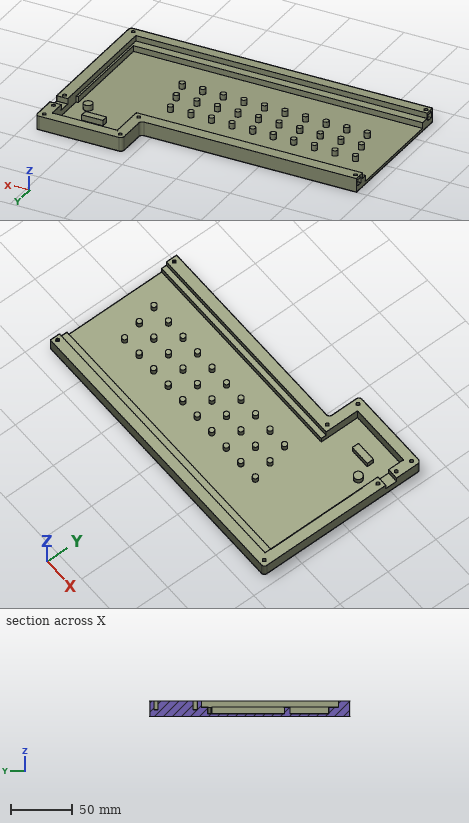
import cadquery as cq

LENGTH = 280.0
WIDTH = 163.5
HEIGHT = 13.0
FLOOR = 2.5
LEDGE_HEIGHT = 7.8
CORNER_RADIUS = 3.0

BODY_WIDTH = 131.6
BAY_LEFT = 199.7

FRONT_WALL = 9.5
RIGHT_WALL = 10.5
BODY_BACK_WALL = 10.6
BAY_WALL = 9.8

FRONT_LEDGE = 7.8
BACK_LEDGE = 5.0
RIGHT_LEDGE = 2.0
RIGHT_LEDGE_END = 112.5

NOTCH_FRONT = 127.2
NOTCH_WIDTH = 11.2
NOTCH_FLOOR = 7.8

SCREW_DIAMETER = 3.0
SCREW_DEPTH = 7.0
SCREW_INSET = 5.3
LEFT_SCREW_INSET = 3.6
FRONT_SCREW_INSET = 4.8
BAY_SCREW_INSET = 4.8
NOTCH_SCREW_GAP = 4.0

SOCKET_SIZE = 5.3
SOCKET_DEPTH = 5.5
SOCKET_CENTER_HEIGHT = 7.8
SOCKET_INSET = 5.0

PIN_DIAMETER = 5.0
PIN_HEIGHT = 5.0
PIN_PITCH = 19.0
PIN_ROWS = 3
PINS_PER_ROW = 10
ROW_STAGGER = PIN_PITCH / 4
FIRST_PIN_X = 23.5
FIRST_PIN_Y = 89.3

POST_DIAMETER = 8.0
POST_X = 256.0
POST_Y = 117.5
BLOCK_LENGTH = 19.5
BLOCK_WIDTH = 6.5
BLOCK_LEFT = 232.0
BLOCK_FRONT = 130.5
BOSS_HEIGHT = 5.0

CAVITY_RIGHT = LENGTH - RIGHT_WALL
CAVITY_BACK = BODY_WIDTH - BODY_BACK_WALL
BAY_CAVITY_LEFT = BAY_LEFT + BAY_WALL
BAY_CAVITY_BACK = WIDTH - BAY_WALL


def box(x_min, x_max, y_min, y_max, z_min, z_max):
    """Axis-aligned block between the given limits."""
    size = (x_max - x_min, y_max - y_min, z_max - z_min)
    return cq.Workplane("XY").box(*size, centered=False).translate((x_min, y_min, z_min))


def pegs(points, diameter, z_min, height):
    """Upright cylinders at the given points."""
    base = cq.Workplane("XY").workplane(offset=z_min)
    return base.pushPoints(points).circle(diameter / 2).extrude(height)


def outer_body():
    """L-shaped slab with every corner rounded except those of the left end."""
    body = box(0, LENGTH, 0, BODY_WIDTH, 0, HEIGHT)
    bay = box(BAY_LEFT, LENGTH, 0, WIDTH, 0, HEIGHT)
    slab = body.union(bay).clean()
    return slab.edges("|Z").edges("not <X").fillet(CORNER_RADIUS)


def cavity():
    """Wide upper recess, narrower lower recess between the ledges, and the bay down to the floor."""
    upper = box(0, CAVITY_RIGHT, FRONT_WALL, CAVITY_BACK, LEDGE_HEIGHT, HEIGHT)
    lower = box(
        0, CAVITY_RIGHT - RIGHT_LEDGE,
        FRONT_WALL + FRONT_LEDGE, CAVITY_BACK - BACK_LEDGE,
        FLOOR, HEIGHT,
    )
    bay = box(BAY_CAVITY_LEFT, CAVITY_RIGHT, RIGHT_LEDGE_END, BAY_CAVITY_BACK, FLOOR, HEIGHT)
    return upper.union(lower).union(bay)


def notch():
    """Gap through the right wall beside the bay."""
    return box(CAVITY_RIGHT, LENGTH, NOTCH_FRONT, NOTCH_FRONT + NOTCH_WIDTH, NOTCH_FLOOR, HEIGHT)


def screw_holes():
    """Blind holes sunk into the rim; the two at the left end meet the end sockets."""
    back_y = WIDTH - SCREW_INSET
    body_back_y = BODY_WIDTH - SCREW_INSET
    right_x = LENGTH - SCREW_INSET
    bay_x = BAY_LEFT + BAY_SCREW_INSET
    points = [
        (LEFT_SCREW_INSET, FRONT_SCREW_INSET),
        (right_x, FRONT_SCREW_INSET),
        (LEFT_SCREW_INSET, body_back_y),
        (bay_x, body_back_y),
        (bay_x, back_y),
        (right_x, back_y),
        (right_x, NOTCH_FRONT - NOTCH_SCREW_GAP),
        (right_x, NOTCH_FRONT + NOTCH_WIDTH + NOTCH_SCREW_GAP),
    ]
    return pegs(points, SCREW_DIAMETER, HEIGHT - SCREW_DEPTH, SCREW_DEPTH)


def end_sockets():
    """Square sockets in the left ends of the front and back walls."""
    centers = [
        (SOCKET_INSET, SOCKET_CENTER_HEIGHT),
        (BODY_WIDTH - SOCKET_INSET, SOCKET_CENTER_HEIGHT),
    ]
    return cq.Workplane("YZ").pushPoints(centers).rect(SOCKET_SIZE, SOCKET_SIZE).extrude(SOCKET_DEPTH)


def support_pins():
    """Rows of pins, each row shifted right of the row behind it."""
    points = [
        (FIRST_PIN_X + row * ROW_STAGGER + column * PIN_PITCH, FIRST_PIN_Y - row * PIN_PITCH)
        for row in range(PIN_ROWS)
        for column in range(PINS_PER_ROW)
    ]
    return pegs(points, PIN_DIAMETER, FLOOR, PIN_HEIGHT)


def bay_bosses():
    """Round post and rectangular block on the bay floor."""
    post = pegs([(POST_X, POST_Y)], POST_DIAMETER, FLOOR, BOSS_HEIGHT)
    block = box(
        BLOCK_LEFT, BLOCK_LEFT + BLOCK_LENGTH,
        BLOCK_FRONT, BLOCK_FRONT + BLOCK_WIDTH,
        FLOOR, FLOOR + BOSS_HEIGHT,
    )
    return post.union(block)


tray = outer_body().cut(cavity()).cut(notch()).cut(screw_holes()).cut(end_sockets())
result = tray.union(support_pins()).union(bay_bosses())